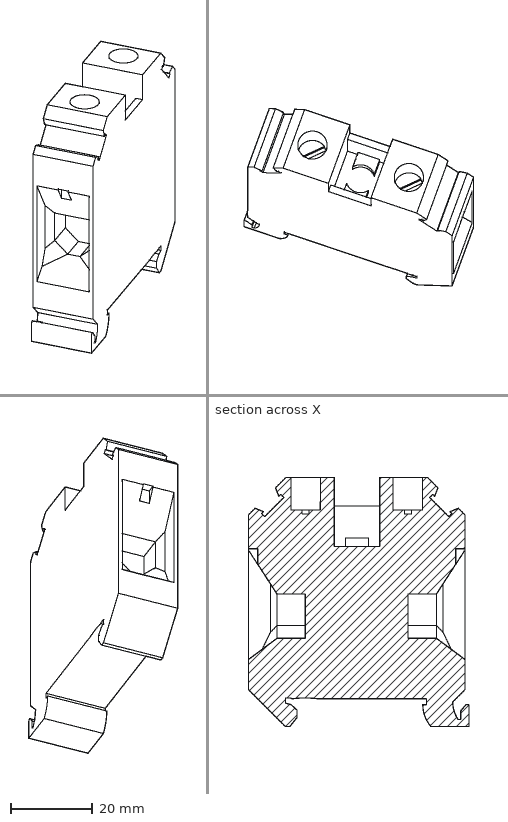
import cadquery as cq
import math


THICKNESS = 16.0
TOTAL_LENGTH = 54.4
HEIGHT = 61.45
HALF_LENGTH = 26.7
FOOT_TIP_Y = HALF_LENGTH - TOTAL_LENGTH
SKIRT_Z = 9.1

GROOVE_AXIS = 33.8
GROOVE_CORNER = (18.0, 56.5)
GROOVE_UNDERCUT = (18.75, 57.25)
GROOVE_LIP = (19.2, 56.75)
SHOULDER_TIP = (20.05, 58.85)

SEAT_Z = 6.85
SEAT_RELIEF_Z = 7.05
CATCH_Z = 5.45
FIXED_FOOT_Y = 17.5
SPRING_FOOT_Y = -17.2
FIXED_HOOK = [(FIXED_FOOT_Y, 5.8), (16.2, CATCH_Z), (14.7, 4.1), (14.7, 2.25), (16.5, 0)]
SPRING_HOOK_HEEL = (-18.3, 0)
SPRING_HOOK_MIDDLE = (-16.75, 2.6)
SPRING_HOOK_NOSE = (-16.25, CATCH_Z)
HOLLOW_START_Y = 9.5
HOLLOW_END_Y = 15.9
RELIEF_Y = 16.4

GAP_WALL_RADIUS = 7.8
GAP_WALL_CENTRE_Y = -31.5
GAP_WALL_TOP_Z = 6.1
GAP_FLOOR_Z = 3.85
SUNK_FLOOR_Z = 1.8
LEDGE_WIDTH = 1.4
LIP_FOOT_Y = -25.6
LIP_SHOULDER = (-26.8, 5.3)
LIP_CREST = (-27.3, 5.5)
LIP_TIP = (FOOT_TIP_Y, 5.05)

SLOT_LENGTH = 11.15
SLOT_Y = -0.05
SLOT_DEPTH = 7.0
RECESS_WIDTH = 12.45
RECESS_DEPTH = 10.0
PAD_LENGTH = 5.65
PAD_HEIGHT = 2.0
PAD_GAP_DIAMETER = 7.2

SCREW_Y = 12.6
SCREW_DIAMETER = 7.2
SCREW_DEPTH = 8.0
DRIVE_WIDTH = 1.15
DRIVE_DEPTH = 1.0
DRIVE_ANGLE = -45.0

ENTRY_WIDTH = 13.94
ENTRY_TOP = 43.55
ENTRY_BOTTOM = 16.57
FUNNEL_DEPTH = 7.05
BORE_DEPTH = 14.0
BORE_HALF_WIDTH = 5.1
BORE_TOP = 32.65
BORE_SIDE_BOTTOM = 24.93
BORE_BOTTOM = 21.8
BORE_KEEL_HALF_WIDTH = 1.64
FUNNEL_MOUTH_HALF_WIDTH = 13.1
FUNNEL_MOUTH_SIDE_BOTTOM = 17.6
FUNNEL_MOUTH_KEEL_HALF_WIDTH = 11.97
KEYWAY_WIDTH = 2.6
KEYWAY_TOP = 43.8
KEYWAY_BOTTOM = 40.08


def across_groove(point):
    """Reflect a (y, z) point in the 45 degree axis of the marker groove."""
    y, z = point
    return (z - GROOVE_AXIS, y + GROOVE_AXIS)


def shoulder_points():
    """Outline of the +Y shoulder, from the end face up to the top face."""
    upper = [GROOVE_CORNER, GROOVE_UNDERCUT, GROOVE_LIP, SHOULDER_TIP]
    lower = [across_groove(point) for point in reversed(upper)]
    peak_y, peak_z = lower[0]
    end_face = (HALF_LENGTH, peak_z - (HALF_LENGTH - peak_y))
    tip_y, tip_z = SHOULDER_TIP
    top_face = (tip_y - (HEIGHT - tip_z), HEIGHT)
    return [end_face] + lower + upper + [top_face]


def gap_wall(z):
    """Point (y, z) on the concave wall of the release gap."""
    drop = GAP_WALL_TOP_Z - z
    return (GAP_WALL_CENTRE_Y + math.sqrt(GAP_WALL_RADIUS**2 - drop**2), z)


def housing():
    """Outline of the block in the YZ plane, extruded through its thickness."""
    shoulder = shoulder_points()
    opposite_shoulder = [(-y, z) for y, z in reversed(shoulder)]
    profile = (
        cq.Workplane("YZ", origin=(-THICKNESS / 2, 0, 0))
        .moveTo(FIXED_FOOT_Y, SEAT_RELIEF_Z)
    )
    skirt = [(HALF_LENGTH - SKIRT_Z, 0), (HALF_LENGTH, SKIRT_Z)]
    for y, z in FIXED_HOOK + skirt + shoulder + opposite_shoulder:
        profile = profile.lineTo(y, z)
    profile = (
        profile.lineTo(-HALF_LENGTH, SKIRT_Z)
        .lineTo(*gap_wall(GAP_WALL_TOP_Z))
        .threePointArc(gap_wall((GAP_WALL_TOP_Z + GAP_FLOOR_Z) / 2), gap_wall(GAP_FLOOR_Z))
        .lineTo(LIP_FOOT_Y, GAP_FLOOR_Z)
        .lineTo(*LIP_SHOULDER)
        .threePointArc(LIP_CREST, LIP_TIP)
        .lineTo(FOOT_TIP_Y, 0)
        .lineTo(*SPRING_HOOK_HEEL)
        .threePointArc(SPRING_HOOK_MIDDLE, SPRING_HOOK_NOSE)
        .lineTo(SPRING_FOOT_Y, CATCH_Z)
        .lineTo(SPRING_FOOT_Y, SEAT_Z)
        .lineTo(HOLLOW_START_Y, SEAT_Z)
        .threePointArc(((HOLLOW_START_Y + HOLLOW_END_Y) / 2, SEAT_RELIEF_Z), (HOLLOW_END_Y, SEAT_Z))
        .lineTo(RELIEF_Y, SEAT_RELIEF_Z)
        .close()
    )
    return profile.extrude(THICKNESS)


def sunk_gap_floor():
    """Cutter that carries the gap wall on down to the sunk floor."""
    return (
        cq.Workplane("YZ", origin=(-THICKNESS / 2 + LEDGE_WIDTH, 0, 0))
        .moveTo(*gap_wall(GAP_FLOOR_Z))
        .threePointArc(gap_wall((GAP_FLOOR_Z + SUNK_FLOOR_Z) / 2), gap_wall(SUNK_FLOOR_Z))
        .lineTo(LIP_FOOT_Y, SUNK_FLOOR_Z)
        .lineTo(LIP_FOOT_Y, GAP_FLOOR_Z)
        .close()
        .extrude(THICKNESS - LEDGE_WIDTH)
    )


def top_slot():
    """Cutter for the top slot and its recess, leaving two pads on the recess floor."""
    floor_z = HEIGHT - SLOT_DEPTH
    recess_z = floor_z - RECESS_DEPTH
    slot = cq.Workplane("XY", origin=(0, SLOT_Y, floor_z)).rect(THICKNESS, SLOT_LENGTH).extrude(SLOT_DEPTH)
    floor_plane = cq.Workplane("XY", origin=(0, SLOT_Y, recess_z))
    recess = floor_plane.rect(RECESS_WIDTH, SLOT_LENGTH).extrude(RECESS_DEPTH)
    pads = (
        floor_plane.rect(RECESS_WIDTH, PAD_LENGTH).extrude(PAD_HEIGHT)
        .cut(floor_plane.circle(PAD_GAP_DIAMETER / 2).extrude(PAD_HEIGHT))
    )
    return slot.union(recess.cut(pads))


def screw_hole(y):
    """Cutter for a screw hole that ends at a slotted screw head."""
    head_plane = cq.Workplane("XY", origin=(0, y, HEIGHT - SCREW_DEPTH))
    hole = head_plane.circle(SCREW_DIAMETER / 2).extrude(SCREW_DEPTH)
    drive = (
        head_plane.transformed(rotate=(0, 0, DRIVE_ANGLE))
        .rect(2 * SCREW_DIAMETER, DRIVE_WIDTH).extrude(-DRIVE_DEPTH)
        .intersect(head_plane.circle(SCREW_DIAMETER / 2).extrude(-DRIVE_DEPTH))
    )
    return hole.union(drive)


def keel_outline(half_width, top, side_bottom, bottom, keel_half_width):
    """Six-sided (x, z) outline with a flat top and a keel-shaped floor."""
    return [
        (-half_width, top),
        (half_width, top),
        (half_width, side_bottom),
        (keel_half_width, bottom),
        (-keel_half_width, bottom),
        (-half_width, side_bottom),
    ]


def box_from_end_face(width, bottom, top, depth):
    """Box reaching into the part from the -Y end face."""
    return (
        cq.Workplane("XY", origin=(0, -HALF_LENGTH, bottom))
        .box(width, depth, top - bottom, centered=(True, False, False))
    )


def wire_entry():
    """Cutter for the wire entry in the -Y end face."""
    mouth = keel_outline(
        FUNNEL_MOUTH_HALF_WIDTH,
        ENTRY_TOP,
        FUNNEL_MOUTH_SIDE_BOTTOM,
        ENTRY_BOTTOM,
        FUNNEL_MOUTH_KEEL_HALF_WIDTH,
    )
    throat = keel_outline(
        BORE_HALF_WIDTH, BORE_TOP, BORE_SIDE_BOTTOM, BORE_BOTTOM, BORE_KEEL_HALF_WIDTH
    )
    funnel = (
        cq.Workplane("XZ", origin=(0, -HALF_LENGTH, 0))
        .polyline(mouth).close()
        .workplane(offset=-FUNNEL_DEPTH)
        .polyline(throat).close()
        .loft(ruled=True)
        .intersect(box_from_end_face(ENTRY_WIDTH, ENTRY_BOTTOM, ENTRY_TOP, FUNNEL_DEPTH))
    )
    bore = (
        cq.Workplane("XZ", origin=(0, -HALF_LENGTH + FUNNEL_DEPTH, 0))
        .polyline(throat).close()
        .extrude(-(BORE_DEPTH - FUNNEL_DEPTH))
    )
    ceiling_slope = (ENTRY_TOP - BORE_TOP) / FUNNEL_DEPTH
    keyway_depth = (ENTRY_TOP - KEYWAY_BOTTOM) / ceiling_slope
    keyway = box_from_end_face(KEYWAY_WIDTH, KEYWAY_BOTTOM, KEYWAY_TOP, keyway_depth)
    return funnel.union(bore).union(keyway)


result = housing().cut(sunk_gap_floor()).cut(top_slot())
for screw_y in (-SCREW_Y, SCREW_Y):
    result = result.cut(screw_hole(screw_y))
entry = wire_entry()
result = result.cut(entry).cut(entry.mirror("XZ"))